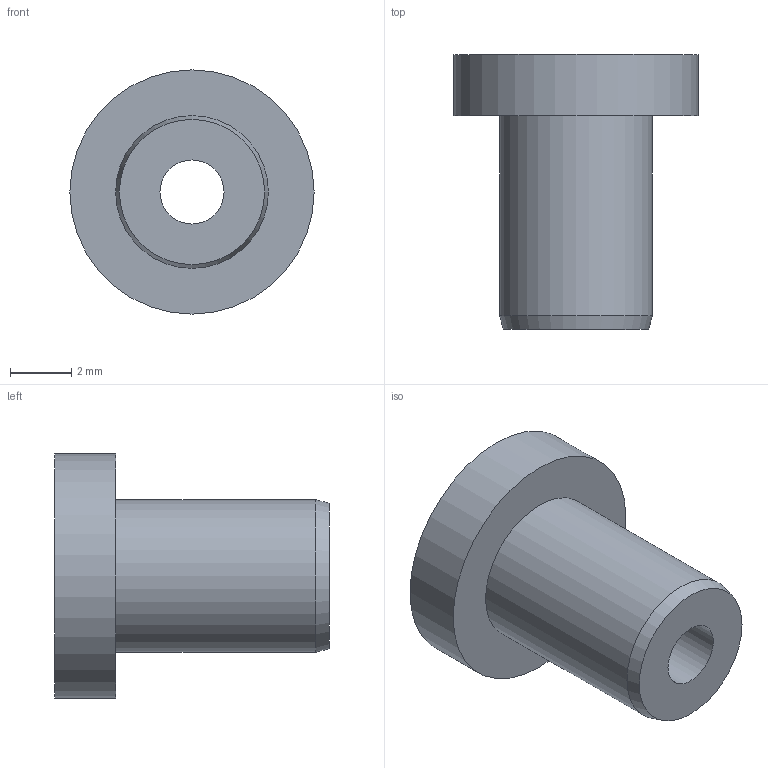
import cadquery as cq
import math

head_diameter = 8.0
head_thickness = 2.0
shank_diameter = 5.0
shank_length = 7.0
bore_diameter = 2.1

taper_length = 0.45
taper_angle = 15.0


def bushing_body():
    """Head, shank and tapered tip, revolved about the Y axis."""
    head_radius = head_diameter / 2
    shank_radius = shank_diameter / 2
    tip_radius = shank_radius - taper_length * math.tan(math.radians(taper_angle))

    profile = (
        cq.Workplane("XY")
        .moveTo(0, -shank_length)
        .lineTo(tip_radius, -shank_length)
        .lineTo(shank_radius, taper_length - shank_length)
        .lineTo(shank_radius, 0)
        .lineTo(head_radius, 0)
        .lineTo(head_radius, head_thickness)
        .lineTo(0, head_thickness)
        .close()
    )
    return profile.revolve(360, (0, 0, 0), (0, 1, 0))


def through_bore():
    """Cylinder removed along the full length of the bushing."""
    overall_length = head_thickness + shank_length
    return (
        cq.Workplane("XZ", origin=(0, head_thickness, 0))
        .circle(bore_diameter / 2)
        .extrude(overall_length)
    )


result = bushing_body().cut(through_bore())